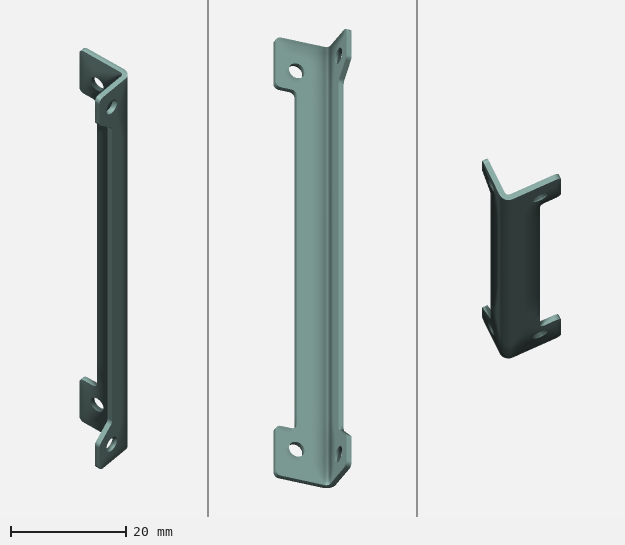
import cadquery as cq

WIDTH = 11.0
DEPTH = 8.85
HEIGHT = 88.0
THICKNESS = 1.0
INNER_BEND_RADIUS = 0.73
OUTER_BEND_RADIUS = INNER_BEND_RADIUS + THICKNESS

CORNER_RADIUS = 1.0
HOLE_DIAMETER = 2.9

BACK_TAB_HEIGHT = 10.0
BACK_SLOPE_HEIGHT = 0.0
BACK_RELIEF_DEPTH = 4.0
BACK_HOLE_FROM_EDGE = 4.0
BACK_HOLE_FROM_END = 6.0

SIDE_TAB_HEIGHT = 6.0
SIDE_SLOPE_HEIGHT = 3.0
SIDE_RELIEF_DEPTH = 3.5
SIDE_HOLE_FROM_EDGE = 3.4
SIDE_HOLE_FROM_END = 4.0

HALF_HEIGHT = HEIGHT / 2


def bent_angle():
    """Plain L-section with a rounded bend; the outer corner is at X = WIDTH, Y = DEPTH."""
    section = (
        cq.Workplane("XY", origin=(0, 0, -HALF_HEIGHT))
        .moveTo(0, DEPTH)
        .lineTo(WIDTH, DEPTH)
        .lineTo(WIDTH, 0)
        .lineTo(WIDTH - THICKNESS, 0)
        .lineTo(WIDTH - THICKNESS, DEPTH - THICKNESS)
        .lineTo(0, DEPTH - THICKNESS)
        .close()
        .extrude(HEIGHT)
    )
    nearest_to = cq.selectors.NearestToPointSelector
    inner_corner = nearest_to((WIDTH - THICKNESS, DEPTH - THICKNESS, 0))
    outer_corner = nearest_to((WIDTH, DEPTH, 0))
    section = section.edges(inner_corner).fillet(INNER_BEND_RADIUS)
    return section.edges(outer_corner).fillet(OUTER_BEND_RADIUS)


def flange_profile(plane, corner_edges, span, relief_depth, tab_height, slope_height):
    """Flange outline, from its free edge at 0 to span, swept through the whole angle.

    A relief of the given depth separates the two end tabs. The corners picked by
    corner_edges, all of them away from the bend, are rounded.
    """
    tab_end = HALF_HEIGHT - tab_height
    relief_end = tab_end - slope_height
    blank = (
        cq.Workplane(plane)
        .polyline([
            (span, HALF_HEIGHT),
            (0, HALF_HEIGHT),
            (0, tab_end),
            (relief_depth, relief_end),
            (relief_depth, -relief_end),
            (0, -tab_end),
            (0, -HALF_HEIGHT),
            (span, -HALF_HEIGHT),
        ])
        .close()
        .extrude(WIDTH + DEPTH, both=True)
    )
    return blank.edges(corner_edges).fillet(CORNER_RADIUS)


def hole_pair(plane, from_edge, from_end, start, depth):
    """Two round cutters, one near each end of a flange."""
    height = HALF_HEIGHT - from_end
    return (
        cq.Workplane(plane)
        .workplane(offset=start)
        .pushPoints([(from_edge, height), (from_edge, -height)])
        .circle(HOLE_DIAMETER / 2)
        .extrude(depth)
    )


back_profile = flange_profile(
    "XZ", "|Y and (not >X)", WIDTH, BACK_RELIEF_DEPTH, BACK_TAB_HEIGHT, BACK_SLOPE_HEIGHT
)
side_profile = flange_profile(
    "YZ", "|X and (not >Y)", DEPTH, SIDE_RELIEF_DEPTH, SIDE_TAB_HEIGHT, SIDE_SLOPE_HEIGHT
)

back_holes = hole_pair("XZ", BACK_HOLE_FROM_EDGE, BACK_HOLE_FROM_END, -DEPTH, THICKNESS)
side_holes = hole_pair("YZ", SIDE_HOLE_FROM_EDGE, SIDE_HOLE_FROM_END, WIDTH - THICKNESS, THICKNESS)

result = (
    bent_angle()
    .intersect(back_profile)
    .intersect(side_profile)
    .cut(back_holes)
    .cut(side_holes)
)